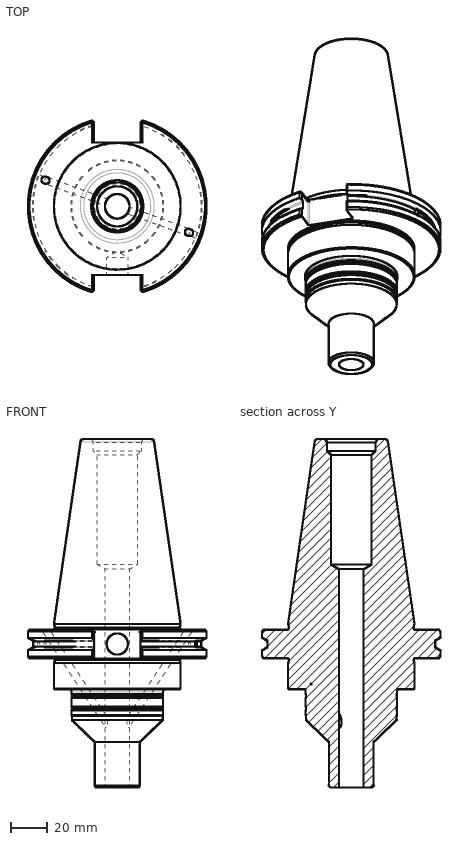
import cadquery as cq
import math

total_height = 191.7
gauge_z = 90.1
flange_top_z = 86.8
flange_bottom_z = 71.1
collar_bottom_z = 54.0
nose_bottom_z = 37.2
pilot_top_z = 25.1
flange_mid_z = (flange_top_z + flange_bottom_z) / 2

gauge_diameter = 69.8
taper_ratio = 7 / 24
top_edge_fillet = 2.0
gauge_radius = gauge_diameter / 2
top_radius = gauge_radius - (total_height - gauge_z) * taper_ratio / 2

neck_radius = 34.3
upper_relief_z = 88.0
lower_relief_z = 70.2
collar_top_z = 68.5

flange_radius = 98.3 / 2
flange_chamfer = 1.0
groove_floor_radius = 46.2
groove_floor_height = 3.6
groove_mouth_height = 6.7
groove_floor_fillet = 0.8
groove_floor_half = groove_floor_height / 2
groove_mouth_half = groove_mouth_height / 2

collar_chamfer = 0.5
nose_radius = 50.5 / 2
nose_relief_radius = 50.0 / 2
nose_root_radius = 25.5
nose_root_z = 52.7
nose_step_z = 40.0
nose_step_height = 0.5
nose_groove_width = 2.3
nose_groove_zs = (50.5, 43.5)
pilot_radius = 25.0 / 2
pilot_tip_radius = 23.0 / 2
pilot_chamfer_height = 1.2

mouth_radius = 28.8 / 2
counterbore_radius = 26.5 / 2
thread_radius = 22.0 / 2
through_radius = 13.5 / 2
mouth_chamfer_depth = 2.0
counterbore_depth = 6.5
thread_depth = 69.0
drill_point_angle = 118.0

slot_width = 25.7
slot_chamfer = 1.2
slot_floor_fillet = 0.5
front_slot_floor = 37.8
back_slot_floor = 35.0
dimple_diameter = 11.7
dimple_depth = 9.5

channel_angles = (160.0, -20.0)
inclined_channel_diameter = 3.8
inclined_channel_distance = 42.0
inclined_channel_tilt = 35.0
radial_channel_diameter = 3.3
radial_channel_depth = 3.8


def drill_point_depth(radius):
    return radius / math.tan(math.radians(drill_point_angle / 2))


def revolve_profile(points):
    return cq.Workplane("XZ").polyline(points).close().revolve(360, (0, 0, 0), (0, 1, 0))


def make_body():
    body = revolve_profile([
        (0, total_height),
        (top_radius, total_height),
        (gauge_radius, gauge_z),
        (neck_radius, upper_relief_z),
        (gauge_radius, flange_top_z),
        (flange_radius - flange_chamfer, flange_top_z),
        (flange_radius, flange_top_z - flange_chamfer),
        (flange_radius, flange_mid_z + groove_mouth_half),
        (groove_floor_radius, flange_mid_z + groove_floor_half),
        (groove_floor_radius, flange_mid_z - groove_floor_half),
        (flange_radius, flange_mid_z - groove_mouth_half),
        (flange_radius, flange_bottom_z + flange_chamfer),
        (flange_radius - flange_chamfer, flange_bottom_z),
        (gauge_radius, flange_bottom_z),
        (neck_radius, lower_relief_z),
        (gauge_radius, collar_top_z),
        (gauge_radius, collar_bottom_z + collar_chamfer),
        (gauge_radius - collar_chamfer, collar_bottom_z),
        (nose_root_radius, collar_bottom_z),
        (nose_radius, nose_root_z),
        (nose_radius, nose_step_z),
        (nose_relief_radius, nose_step_z - nose_step_height),
        (nose_relief_radius, nose_bottom_z),
        (pilot_radius, pilot_top_z),
        (pilot_radius, pilot_chamfer_height),
        (pilot_tip_radius, 0),
        (0, 0),
    ])
    body = body.faces(">Z").edges().fillet(top_edge_fillet)
    reach = (groove_floor_half + groove_mouth_half) / 2
    groove_floor_edges = cq.selectors.BoxSelector(
        (-flange_radius, -flange_radius, flange_mid_z - reach),
        (flange_radius, flange_radius, flange_mid_z + reach),
    )
    return body.edges("%CIRCLE").edges(groove_floor_edges).fillet(groove_floor_fillet)


def make_nose_groove(z):
    half_mouth = nose_groove_width / 2
    half_floor = half_mouth - nose_step_height
    return revolve_profile([
        (nose_radius, z + half_mouth),
        (nose_relief_radius, z + half_floor),
        (nose_relief_radius, z - half_floor),
        (nose_radius, z - half_mouth),
    ])


def make_bore():
    counterbore_z = total_height - counterbore_depth
    thread_z = total_height - thread_depth
    step_cone_height = counterbore_radius - thread_radius
    end_cone_height = drill_point_depth(thread_radius) - drill_point_depth(through_radius)
    return revolve_profile([
        (0, total_height),
        (mouth_radius, total_height),
        (counterbore_radius, total_height - mouth_chamfer_depth),
        (counterbore_radius, counterbore_z),
        (thread_radius, counterbore_z - step_cone_height),
        (thread_radius, thread_z),
        (through_radius, thread_z - end_cone_height),
        (through_radius, 0),
        (0, 0),
    ])


def make_slot(side, floor_distance):
    """Cutter for a drive slot on the +Y (side = 1) or -Y (side = -1) side."""
    height = flange_top_z - flange_bottom_z
    length = flange_radius - floor_distance
    slot = (
        cq.Workplane("XY")
        .box(slot_width, length, height, centered=(True, False, False))
        .edges("|Z and <Y")
        .fillet(slot_floor_fillet)
    )

    half = slot_width / 2
    top_flare = (
        cq.Workplane("XZ")
        .polyline([
            (-half, height - slot_chamfer),
            (-half - slot_chamfer, height),
            (half + slot_chamfer, height),
            (half, height - slot_chamfer),
        ])
        .close()
        .extrude(-length)
    )
    corner_distance = math.sqrt(flange_radius**2 - (half + slot_chamfer)**2) - floor_distance
    rim_flare = (
        cq.Workplane("XY")
        .polyline([
            (-half, corner_distance - slot_chamfer),
            (-half - slot_chamfer, corner_distance),
            (-half - slot_chamfer, length),
            (half + slot_chamfer, length),
            (half + slot_chamfer, corner_distance),
            (half, corner_distance - slot_chamfer),
        ])
        .close()
        .extrude(height)
    )
    slot = slot.union(top_flare).union(rim_flare).translate((0, floor_distance, flange_bottom_z))
    return slot if side > 0 else slot.rotate((0, 0, 0), (0, 0, 1), 180)


def make_dimple():
    """Blind drilled hole into the floor of the -Y slot."""
    radius = dimple_diameter / 2
    dimple = revolve_profile([
        (0, 0),
        (radius, 0),
        (radius, dimple_depth),
        (0, dimple_depth + drill_point_depth(radius)),
    ])
    return dimple.rotate((0, 0, 0), (1, 0, 0), -90).translate((0, -front_slot_floor, flange_mid_z))


def make_coolant_channel(angle):
    """Inclined hole from the flange top face to the bore, and a short radial hole in the groove floor."""
    overshoot = inclined_channel_diameter
    length_to_axis = inclined_channel_distance / math.sin(math.radians(inclined_channel_tilt))
    inclined = (
        cq.Workplane("XY")
        .workplane(offset=overshoot)
        .circle(inclined_channel_diameter / 2)
        .extrude(-overshoot - length_to_axis)
        .rotate((0, 0, 0), (0, 1, 0), inclined_channel_tilt)
        .translate((inclined_channel_distance, 0, flange_top_z))
    )
    radial = (
        cq.Workplane("YZ", origin=(groove_floor_radius - radial_channel_depth, 0, flange_mid_z))
        .circle(radial_channel_diameter / 2)
        .extrude(flange_radius - groove_floor_radius + radial_channel_depth)
    )
    return inclined.union(radial).rotate((0, 0, 0), (0, 0, 1), angle)


result = make_body().cut(make_bore())
for groove_z in nose_groove_zs:
    result = result.cut(make_nose_groove(groove_z))
result = result.cut(make_slot(-1, front_slot_floor)).cut(make_slot(1, back_slot_floor))
result = result.cut(make_dimple())
for channel_angle in channel_angles:
    result = result.cut(make_coolant_channel(channel_angle))